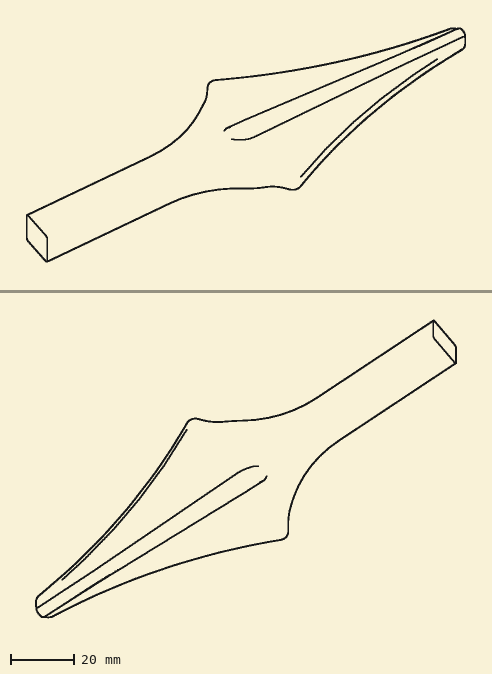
import cadquery as cq
import math

LENGTH = 160.0
HANDLE_WIDTH = 12.0
HANDLE_HALF = HANDLE_WIDTH / 2
HANDLE_LENGTH = 46.2

NECK_RADIUS = 40.0
CORNER_Y = 80.8
TIP_HALF_WIDTH = 3.5
BLADE_EDGE_RADIUS = 214.4
CORNER_RADIUS = 3.0
EDGE_FILLET = 1.0

STEP_START_Y = 70.2
STEP_MIDDLE_Y = 75.4
STEP_MIDDLE_Z = 4.5
STEP_END_Y = 80.0
BLADE_HALF = 3.0
BLADE_TIP_HALF = 2.0

RIDGE_TIP_Z = 2.7
RIDGE_START_HALF = 1.3
CREST_HALF = 0.08
CREST_START_Y = 137.1
ROUND_WIDTH = 2.0
ROUND_DEPTH = 1.0


def mirror_x(point):
    """Same point on the other side of the middle plane X = 0."""
    return (-point[0], point[1])


def arc_middle(start, end, radius):
    """Middle of the arc from start to end that bulges to the left of the chord."""
    dx = end[0] - start[0]
    dy = end[1] - start[1]
    chord = math.hypot(dx, dy)
    sagitta = radius - math.sqrt(radius**2 - (chord / 2) ** 2)
    middle_x = (start[0] + end[0]) / 2 - dy / chord * sagitta
    middle_y = (start[1] + end[1]) / 2 + dx / chord * sagitta
    return (middle_x, middle_y)


def make_outline():
    """Spear outline, extruded through the full thickness, with its corners rounded."""
    corner_rise = CORNER_Y - HANDLE_LENGTH
    corner_x = HANDLE_HALF + NECK_RADIUS - math.sqrt(NECK_RADIUS**2 - corner_rise**2)
    handle_end = (HANDLE_HALF, 0)
    neck = (HANDLE_HALF, HANDLE_LENGTH)
    corner = (corner_x, CORNER_Y)
    tip = (TIP_HALF_WIDTH, LENGTH)
    neck_middle = arc_middle(neck, corner, NECK_RADIUS)
    blade_middle = arc_middle(corner, tip, BLADE_EDGE_RADIUS)
    outline = (
        cq.Workplane("XY")
        .workplane(offset=-HANDLE_HALF)
        .moveTo(*handle_end)
        .lineTo(*neck)
        .threePointArc(neck_middle, corner)
        .threePointArc(blade_middle, tip)
        .lineTo(*mirror_x(tip))
        .threePointArc(mirror_x(blade_middle), mirror_x(corner))
        .threePointArc(mirror_x(neck_middle), mirror_x(neck))
        .lineTo(*mirror_x(handle_end))
        .close()
        .extrude(HANDLE_WIDTH)
    )
    upper_half = cq.selectors.BoxSelector(
        (-LENGTH, LENGTH / 2, -LENGTH),
        (LENGTH, 2 * LENGTH, LENGTH),
    )
    return outline.edges("|Z").edges(upper_half).fillet(CORNER_RADIUS)


def make_thickness():
    """Side profile: full handle, S-shaped step down, then a blade thinning to the tip."""
    half = (
        cq.Workplane("YZ")
        .workplane(offset=-LENGTH / 2)
        .lineTo(0, HANDLE_HALF)
        .lineTo(STEP_START_Y, HANDLE_HALF)
        .tangentArcPoint((STEP_MIDDLE_Y, STEP_MIDDLE_Z), relative=False)
        .tangentArcPoint((STEP_END_Y, BLADE_HALF), relative=False)
        .lineTo(LENGTH, BLADE_TIP_HALF)
        .lineTo(LENGTH, 0)
        .close()
        .extrude(LENGTH)
    )
    return half.union(half.mirror("XY"))


def interpolate(y, start, end):
    """Value at y on the straight line between two (y, value) points."""
    return start[1] + (end[1] - start[1]) * (y - start[0]) / (end[0] - start[0])


def spine_section(y, flat_half, top):
    """Closed section across the spine: flat top, elliptical shoulders and upright sides."""
    side = flat_half + ROUND_WIDTH
    shoulder = top - ROUND_DEPTH
    diagonal = math.cos(math.radians(45))
    round_x = flat_half + ROUND_WIDTH * diagonal
    round_z = shoulder + ROUND_DEPTH * diagonal

    def at(x, z):
        return cq.Vector(x, y, z)

    def rounding(sign):
        """Curve close to a quarter ellipse, from the flat top down to the side."""
        middle = at(sign * round_x, round_z)
        tangents = [cq.Vector(sign, 0, 0), cq.Vector(0, 0, -1)]
        points = [at(sign * flat_half, top), middle, at(sign * side, shoulder)]
        return cq.Edge.makeSpline(points, tangents=tangents)

    edges = [
        cq.Edge.makeLine(at(-side, 0), at(side, 0)),
        cq.Edge.makeLine(at(side, 0), at(side, shoulder)),
        rounding(1),
        cq.Edge.makeLine(at(flat_half, top), at(-flat_half, top)),
        rounding(-1),
        cq.Edge.makeLine(at(-side, shoulder), at(-side, 0)),
    ]
    return cq.Wire.assembleEdges(edges)


def make_spine():
    """Ridge that narrows and sinks towards the tip, on both faces of the blade."""
    flat_start = (STEP_START_Y, RIDGE_START_HALF)
    flat_end = (CREST_START_Y, CREST_HALF)
    ridge_start = (STEP_END_Y, HANDLE_HALF)
    ridge_end = (LENGTH, RIDGE_TIP_Z)
    stations = (STEP_START_Y, STEP_END_Y, CREST_START_Y, LENGTH)
    sections = []
    for y in stations:
        flat_half = max(CREST_HALF, interpolate(y, flat_start, flat_end))
        top = min(HANDLE_HALF, interpolate(y, ridge_start, ridge_end))
        sections.append(spine_section(y, flat_half, top))
    upper = cq.Workplane(cq.Solid.makeLoft(sections, True))
    return upper.union(upper.mirror("XY"))


outline = make_outline()

body = outline.intersect(make_thickness())
body = body.edges("not(|X or |Z)").fillet(EDGE_FILLET)
result = body.union(make_spine().intersect(outline))